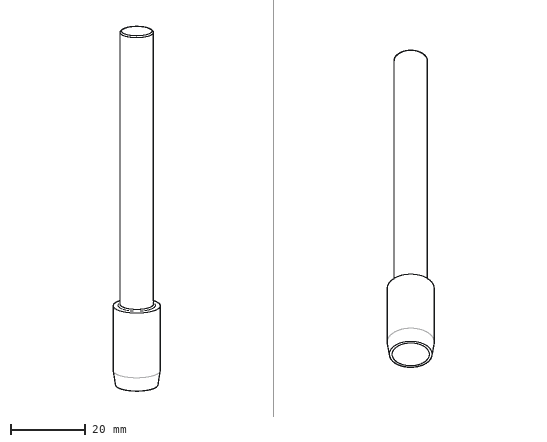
import cadquery as cq

shaft_diameter = 9.0
shaft_chamfer = 0.4
rod_length = 100.0
shank_diameter = 10.0
shank_length = 22.35

sleeve_diameter = 12.7
shoulder_height = 22.3
lip_rise = 0.45
nose_height = 4.0
nose_tip_diameter = 11.5

shaft_radius = shaft_diameter / 2
shank_radius = shank_diameter / 2
sleeve_radius = sleeve_diameter / 2
lip_height = shoulder_height + lip_rise


def make_rod():
    """Stepped round rod, chamfered at its top end."""
    shank = cq.Workplane("XY").circle(shank_radius).extrude(shank_length)
    shaft = cq.Workplane("XY").circle(shaft_radius).extrude(rod_length)
    return shank.union(shaft).faces(">Z").chamfer(shaft_chamfer)


def make_sleeve():
    """Sleeve around the shank; its conical lip closes in over the shank onto the shaft."""
    return (
        cq.Workplane("YZ")
        .moveTo(shank_radius, 0)
        .lineTo(nose_tip_diameter / 2, 0)
        .lineTo(sleeve_radius, nose_height)
        .lineTo(sleeve_radius, shoulder_height)
        .lineTo(shaft_radius, lip_height)
        .lineTo(shaft_radius, shank_length)
        .lineTo(shank_radius, shank_length)
        .close()
        .revolve()
    )


rod = make_rod()
sleeve = make_sleeve()

result = cq.Compound.makeCompound([rod.val(), sleeve.val()])